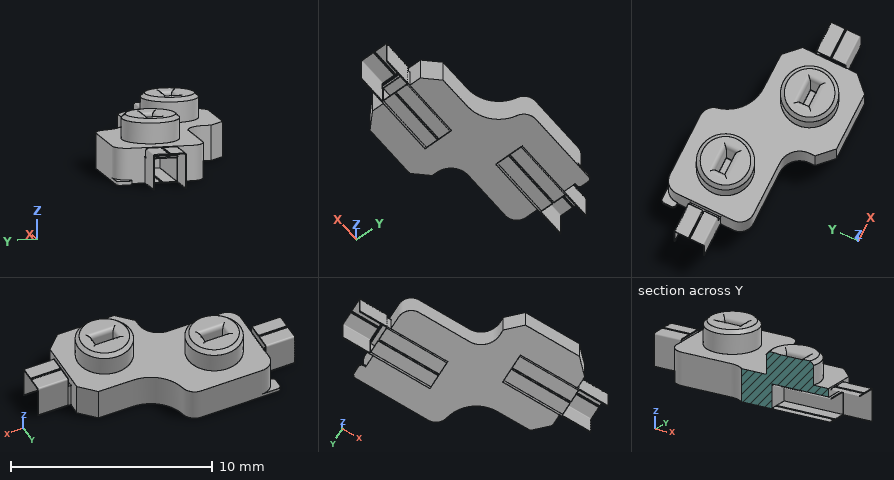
import cadquery as cq
import math

PITCH_X = 5.0
PITCH_Y = -2.2
BODY_HEIGHT = 1.8
TOTAL_HEIGHT = 3.05
END_DISTANCE = 2.27
HALF_DEPTH = 2.33
INNER_HALF_DEPTH = 2.31
CORNER_RADIUS = 0.75
CORNER_CHAMFER = 0.8
SHOULDER_X = 1.85
BACK_WAIST_RADIUS = 2.0
BACK_FACE_FALL = 0.01
FRONT_WAIST_RADIUS = 1.1
FRONT_WAIST_X = 2.51

FOOT_REACH = 0.32
FOOT_DEPTH = 0.79
FOOT_HEIGHT = 0.2
FOOT_RADIUS = 0.2

BOSS_DIAMETER = 2.9
BOSS_CHAMFER = 0.2
THROAT_LENGTH = 1.2
THROAT_WIDTH = 0.5
MOUTH_RADIUS = 0.25

CONTACT_WIDTH = 1.68
BOX_HEIGHT = 1.3
BOX_BACK = 1.05
BOX_GAP = 0.03
SHEET = 0.05
BOX_SIDE_WALL = 0.09
BEND_RADIUS = 0.1
SEAM_WIDTH = 0.08
LEFT_NOTCH = 0.2
RIGHT_NOTCH = 0.12
LEFT_CHANNEL_LENGTH = 1.6
RIGHT_CHANNEL_LENGTH = 1.68

LEFT = -END_DISTANCE
RIGHT = PITCH_X + END_DISTANCE
BACK = HALF_DEPTH
FRONT = PITCH_Y - HALF_DEPTH

SOCKETS = [(0, 0, 180), (PITCH_X, PITCH_Y, 0)]


def block(x_min, x_max, width, z_min, z_max):
    """Box centred on Y = 0."""
    size = (x_max - x_min, width, z_max - z_min)
    return cq.Workplane("XY").box(*size, centered=(False, True, False)).translate((x_min, 0, z_min))


def place(shape, socket):
    x, y, turn = socket
    return shape.rotate((0, 0, 0), (0, 0, 1), turn).translate((x, y, 0))


def on_circle(center, radius, angle):
    return (center[0] + radius * math.cos(angle), center[1] + radius * math.sin(angle))


def housing_plate():
    """Two offset lobes joined by curved waists."""
    right_back = PITCH_Y + INNER_HALF_DEPTH
    waist_bottom = right_back + BACK_FACE_FALL
    left_front = -INNER_HALF_DEPTH
    corner_mid = CORNER_RADIUS * (1 - math.sqrt(0.5))
    shoulder = (SHOULDER_X, BACK - CORNER_RADIUS)
    waist_y = waist_bottom + BACK_WAIST_RADIUS
    center_distance = CORNER_RADIUS + BACK_WAIST_RADIUS
    lean = math.asin((waist_y - shoulder[1]) / center_distance)
    waist = (SHOULDER_X + center_distance * math.cos(lean), waist_y)
    shoulder_mid = on_circle(shoulder, CORNER_RADIUS, (math.pi / 2 + lean) / 2)
    blend = on_circle(shoulder, CORNER_RADIUS, lean)
    waist_mid_angle = ((math.pi + lean) + 3 * math.pi / 2) / 2
    waist_mid = on_circle(waist, BACK_WAIST_RADIUS, waist_mid_angle)
    front_waist = (FRONT_WAIST_X - FRONT_WAIST_RADIUS, left_front - FRONT_WAIST_RADIUS)
    front_waist_mid = on_circle(front_waist, FRONT_WAIST_RADIUS, math.pi / 4)
    return (
        cq.Workplane("XY")
        .moveTo(LEFT + CORNER_RADIUS, BACK)
        .lineTo(SHOULDER_X, BACK)
        .threePointArc(shoulder_mid, blend)
        .threePointArc(waist_mid, (waist[0], waist_bottom))
        .lineTo(RIGHT - CORNER_CHAMFER, right_back)
        .lineTo(RIGHT, right_back - CORNER_CHAMFER)
        .lineTo(RIGHT, FRONT + CORNER_CHAMFER)
        .lineTo(RIGHT - CORNER_CHAMFER, FRONT)
        .lineTo(FRONT_WAIST_X + CORNER_CHAMFER, FRONT)
        .lineTo(FRONT_WAIST_X, FRONT + CORNER_CHAMFER)
        .lineTo(FRONT_WAIST_X, front_waist[1])
        .threePointArc(front_waist_mid, (front_waist[0], left_front))
        .lineTo(LEFT + CORNER_RADIUS, left_front)
        .threePointArc((LEFT + corner_mid, left_front + corner_mid), (LEFT, left_front + CORNER_RADIUS))
        .lineTo(LEFT, BACK - CORNER_RADIUS)
        .threePointArc((LEFT + corner_mid, BACK - corner_mid), (LEFT + CORNER_RADIUS, BACK))
        .close()
        .extrude(BODY_HEIGHT)
    )


def foot():
    length = FOOT_REACH + CORNER_RADIUS
    return (
        cq.Workplane("XY")
        .box(length, FOOT_DEPTH, FOOT_HEIGHT, centered=False)
        .edges("|Z and <X")
        .fillet(FOOT_RADIUS)
        .translate((LEFT - FOOT_REACH, BACK - FOOT_DEPTH, 0))
    )


def boss():
    return (
        cq.Workplane("XY")
        .circle(BOSS_DIAMETER / 2)
        .extrude(TOTAL_HEIGHT)
        .faces(">Z")
        .chamfer(BOSS_CHAMFER)
    )


def socket_opening():
    """Throat with a rounded mouth, down to the contact box."""
    mouth_length = THROAT_LENGTH + 2 * MOUTH_RADIUS
    mouth_width = THROAT_WIDTH + 2 * MOUTH_RADIUS
    mouth_bottom = TOTAL_HEIGHT - MOUTH_RADIUS

    def rail(length, width):
        """Quarter-round profile along a mouth edge, kept on both sides."""
        return (
            cq.Workplane("XZ")
            .moveTo(-length / 2, TOTAL_HEIGHT)
            .radiusArc((MOUTH_RADIUS - length / 2, mouth_bottom), MOUTH_RADIUS)
            .lineTo(length / 2 - MOUTH_RADIUS, mouth_bottom)
            .radiusArc((length / 2, TOTAL_HEIGHT), MOUTH_RADIUS)
            .close()
            .extrude(width / 2, both=True)
        )

    across_length = rail(mouth_length, mouth_width)
    across_width = rail(mouth_width, mouth_length).rotate((0, 0, 0), (0, 0, 1), 90)
    throat = block(-THROAT_LENGTH / 2, THROAT_LENGTH / 2, THROAT_WIDTH, BOX_HEIGHT, TOTAL_HEIGHT)
    return across_length.intersect(across_width).union(throat)


def housing():
    body = housing_plate().union(foot())
    box_recess = block(-BOX_BACK, END_DISTANCE, CONTACT_WIDTH, 0, BOX_HEIGHT + BOX_GAP)
    for socket in SOCKETS:
        body = body.union(place(boss(), socket))
    for socket in SOCKETS:
        body = body.cut(place(socket_opening(), socket))
        body = body.cut(place(box_recess, socket))
    return body


def contact(notch, channel_length):
    """Folded sheet contact pointing toward +X, with the socket centre at X = 0."""
    channel_start = END_DISTANCE + notch
    channel_end = channel_start + channel_length
    box_inner_width = CONTACT_WIDTH - 2 * BOX_SIDE_WALL

    box = block(-BOX_BACK, channel_start, CONTACT_WIDTH, 0, BOX_HEIGHT)
    box = box.cut(block(-BOX_BACK, channel_start, box_inner_width, SHEET, BOX_HEIGHT - SHEET))
    box = box.cut(block(-BOX_BACK, channel_start, SEAM_WIDTH, 0, SHEET))
    window = block(-THROAT_LENGTH / 2, THROAT_LENGTH / 2, THROAT_WIDTH, BOX_HEIGHT - SHEET, BOX_HEIGHT)
    box = box.cut(window)

    channel = block(channel_start, channel_end, CONTACT_WIDTH, 0, BODY_HEIGHT)
    channel = channel.edges("|X and >Z").fillet(BEND_RADIUS)
    channel_inner_width = CONTACT_WIDTH - 2 * SHEET
    cavity = block(channel_start, channel_end, channel_inner_width, 0, BODY_HEIGHT - SHEET)
    cavity = cavity.edges("|X and >Z").fillet(BEND_RADIUS - SHEET)
    seam = block(channel_start, channel_end, SEAM_WIDTH, 0, BODY_HEIGHT)
    return box.union(channel.cut(cavity).cut(seam))


left_contact = place(contact(LEFT_NOTCH, LEFT_CHANNEL_LENGTH), SOCKETS[0])
right_contact = place(contact(RIGHT_NOTCH, RIGHT_CHANNEL_LENGTH), SOCKETS[1])

result = cq.Compound.makeCompound([housing().val(), left_contact.val(), right_contact.val()])